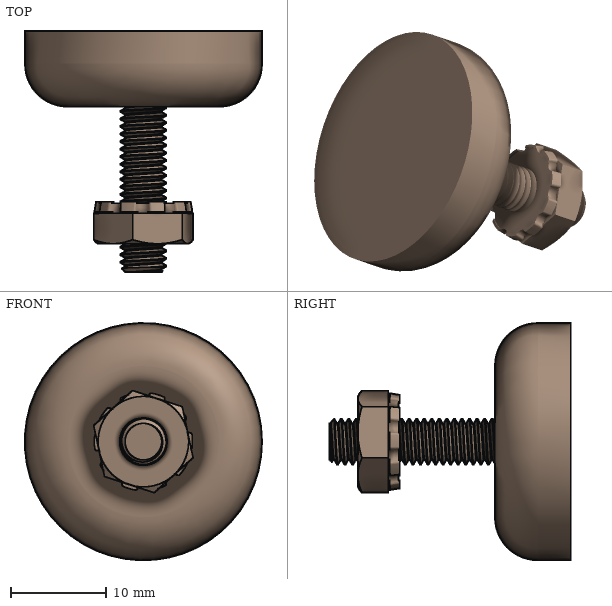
import cadquery as cq
import math


base_diameter = 25.0
base_thickness = 8.0
base_rim_radius = 4.55

stud_length = 17.44
thread_diameter = 4.826
inch = 25.4
threads_per_inch = 32
thread_pitch = inch / threads_per_inch
thread_depth = 0.487
thread_crest_width = thread_pitch / 8
thread_flank_half_angle = 30.0
thread_start_height = -0.706
stud_tip_chamfer = 0.55
stud_buried_length = base_thickness / 2
thread_overlap = 0.05
thread_radius = thread_diameter / 2
core_radius = thread_radius - thread_depth

nut_across_flats = 9.525
nut_height = 3.2
nut_tail = 3.025
nut_turn = -18.0
nut_chamfer_angle = 30.0
nut_mouth_diameter = 5.0
nut_mouth_depth = 0.1
nut_top = stud_length - nut_tail
nut_bottom = nut_top - nut_height
nut_corner_radius = nut_across_flats / math.sqrt(3)

washer_thickness = 1.23
washer_radius_at_nut = 5.17
washer_radius_at_rim = 4.99
washer_groove_height = 0.16
washer_face_recess = 0.15
washer_core_radius = 4.7
tooth_count = 10
tooth_direction = 1.0
notch_radius = 0.72
notch_center_radius = 5.15
tooth_edge_fillet = 0.25
washer_bottom = nut_bottom - washer_thickness


def make_base():
    disc = cq.Workplane("XY").workplane(offset=-base_thickness).circle(base_diameter / 2)
    return disc.extrude(base_thickness).faces(">Z").edges().fillet(base_rim_radius)


def make_thread_ridge():
    root_radius = core_radius - thread_overlap
    flank_height = thread_radius - root_radius
    crest_half = thread_crest_width / 2
    root_half = crest_half + flank_height * math.tan(math.radians(thread_flank_half_angle))
    ridge_height = stud_length - thread_start_height + thread_pitch
    path = cq.Wire.makeHelix(thread_pitch, ridge_height, root_radius)
    profile = cq.Workplane("XZ").polyline([
        (root_radius, -root_half),
        (thread_radius, -crest_half),
        (thread_radius, crest_half),
        (root_radius, root_half),
    ]).close()
    ridge = profile.sweep(cq.Workplane(obj=path), isFrenet=True)
    return ridge.translate((0, 0, thread_start_height))


def make_stud():
    blank = cq.Workplane("XY").workplane(offset=-stud_buried_length)
    core = blank.circle(core_radius).extrude(stud_buried_length + stud_length)
    trim_radius = 2 * thread_radius
    tip_radius = thread_radius - stud_tip_chamfer
    trim = cq.Workplane("XZ").polyline([
        (0, -stud_buried_length),
        (trim_radius, -stud_buried_length),
        (trim_radius, stud_length - trim_radius + tip_radius),
        (tip_radius, stud_length),
        (0, stud_length),
    ]).close().revolve(360, (0, 0), (0, 1))
    return core.union(make_thread_ridge().intersect(trim))


def make_nut():
    hexagon = cq.Workplane("XY").workplane(offset=nut_bottom).polygon(6, 2 * nut_corner_radius)
    nut = hexagon.extrude(nut_height).rotate((0, 0, 0), (0, 0, 1), nut_turn)
    flat_radius = nut_across_flats / 2
    chamfer_drop = (nut_corner_radius - flat_radius) * math.tan(math.radians(nut_chamfer_angle))
    chamfer_limit = cq.Workplane("XZ").polyline([
        (0, nut_bottom),
        (nut_corner_radius, nut_bottom),
        (nut_corner_radius, nut_top - chamfer_drop),
        (flat_radius, nut_top),
        (0, nut_top),
    ]).close().revolve(360, (0, 0), (0, 1))
    mouth = cq.Workplane("XY").workplane(offset=nut_top - nut_mouth_depth)
    mouth = mouth.circle(nut_mouth_diameter / 2).extrude(nut_mouth_depth)
    return nut.intersect(chamfer_limit).cut(mouth)


def is_tooth_edge(edge):
    """True for the edges that run lengthwise along the outer corners of the teeth."""
    start = edge.startPoint()
    end = edge.endPoint()
    middle = edge.positionAt(0.5)
    runs_lengthwise = abs(end.z - start.z) > washer_thickness / 2
    return runs_lengthwise and math.hypot(middle.x, middle.y) > washer_radius_at_rim


def make_washer():
    groove_bottom = nut_bottom - washer_groove_height
    core_bottom = washer_bottom + washer_face_recess
    washer = cq.Workplane("XZ").polyline([
        (0, core_bottom),
        (washer_core_radius, core_bottom),
        (washer_core_radius, washer_bottom),
        (washer_radius_at_rim, washer_bottom),
        (washer_radius_at_nut, groove_bottom),
        (washer_core_radius, groove_bottom),
        (washer_core_radius, nut_bottom),
        (0, nut_bottom),
    ]).close().revolve(360, (0, 0), (0, 1))
    first_notch = tooth_direction + 180 / tooth_count
    notches = cq.Workplane("XY").workplane(offset=washer_bottom)
    notches = notches.polarArray(notch_center_radius, first_notch, 360, tooth_count)
    washer = washer.cut(notches.circle(notch_radius).extrude(washer_thickness))
    return washer.edges().filter(is_tooth_edge).fillet(tooth_edge_fillet)


nut_with_washer = make_nut().union(make_washer())
assembled = make_base().union(make_stud()).union(nut_with_washer)
result = assembled.rotate((0, 0, 0), (1, 0, 0), 90)